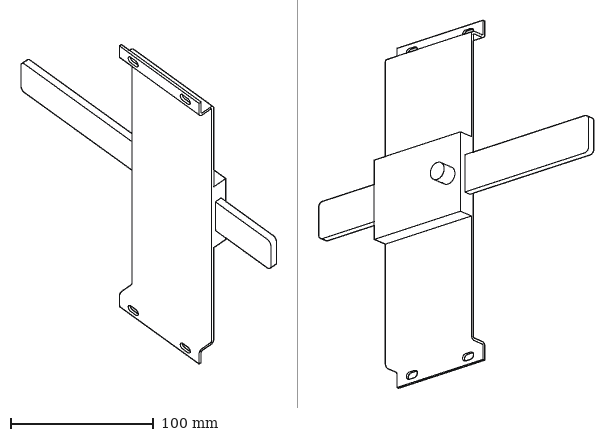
import cadquery as cq

plate_width = 80.0
plate_height = 256.0
sheet = 2.0
bend_inner_radius = 1.0
bend_outer_radius = bend_inner_radius + sheet
plate_back = 14.3
flange_height = 13.3

slot_length = 10.0
slot_width = 5.5
slot_spacing = 52.2
slot_edge_distance = 6.0

mechanism_z = 6.5
block_height = 60.0
block_depth = 11.8
block_back = plate_back + block_depth
bar_length = 251.0
bar_height = 28.2
bar_thickness = 5.6
bar_corner_radius = 3.8
bar_center_x = -29.7
bar_inset = 4.5
bar_back = block_back - bar_inset
knob_diameter = 12.8
knob_length = 11.5
knob_side_offset = 11.5
knob_x = -plate_width / 2 + knob_side_offset


def box_between(y_front, y_back, width, height, x=0, z=0):
    """Box spanning the given Y range, centred at (x, z)."""
    return cq.Workplane("XY").box(width, y_back - y_front, height).translate((x, (y_front + y_back) / 2, z))


def bent_plate():
    """Panel stepped forward at both ends into flanges, with rounded bends."""
    half_height = plate_height / 2
    web_inner = half_height - flange_height
    web_outer = web_inner + sheet
    panel = box_between(plate_back - sheet, plate_back, plate_width, 2 * web_outer)
    for end in (1, -1):
        web_z = end * (web_inner + web_outer) / 2
        flange_z = end * (half_height - flange_height / 2)
        panel = panel.union(box_between(0, plate_back, plate_width, sheet, z=web_z))
        panel = panel.union(box_between(0, sheet, plate_width, flange_height, z=flange_z))

    outer_corners = [(plate_back, web_outer), (0, web_inner)]
    inner_corners = [(plate_back - sheet, web_inner), (sheet, web_outer)]
    for corners, radius in ((outer_corners, bend_outer_radius), (inner_corners, bend_inner_radius)):
        for y, z in corners:
            for end in (1, -1):
                edge = cq.selectors.NearestToPointSelector((0, y, end * z))
                panel = panel.edges("|X").edges(edge).fillet(radius)

    slot_z = half_height - slot_edge_distance
    slot_centers = [(x, z) for x in (-slot_spacing / 2, slot_spacing / 2) for z in (-slot_z, slot_z)]
    slots = cq.Workplane("XZ").pushPoints(slot_centers).slot2D(slot_length, slot_width).extrude(-sheet)
    return panel.cut(slots)


def block():
    return box_between(plate_back, block_back, plate_width, block_height, z=mechanism_z)


def bar():
    blank = box_between(bar_back - bar_thickness, bar_back, bar_length, bar_height, bar_center_x, mechanism_z)
    return blank.edges("|Y").fillet(bar_corner_radius)


def knob():
    base = cq.Workplane("XZ", origin=(knob_x, block_back, mechanism_z))
    return base.circle(knob_diameter / 2).extrude(-knob_length)


result = bent_plate().union(block()).union(bar()).union(knob())